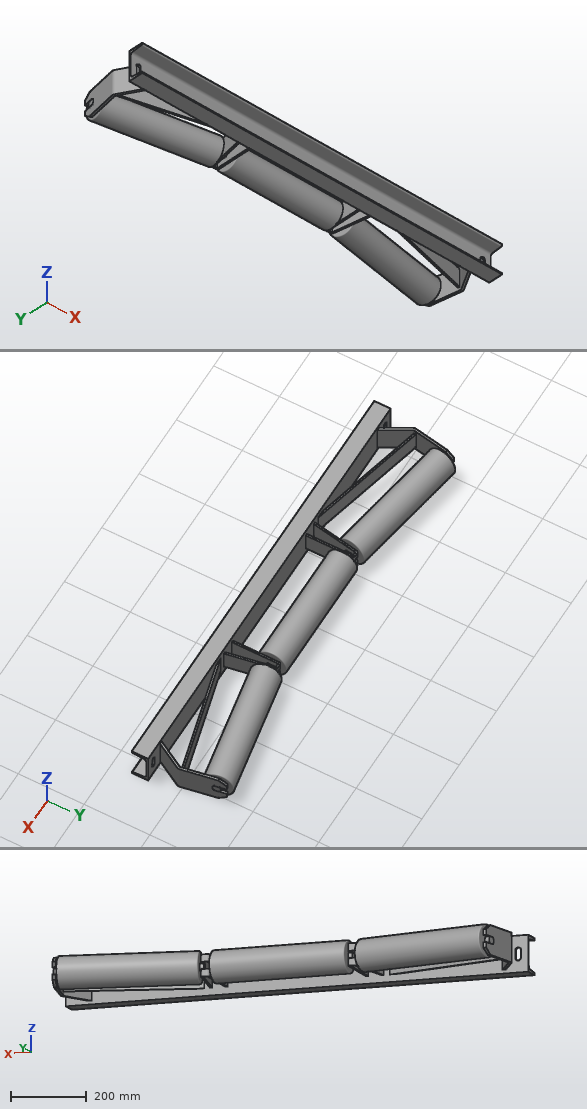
import cadquery as cq
import math


channel_length = 1300.0
channel_width = 100.0
channel_depth = 50.0
web_thickness = 6.0
flange_thickness = 8.5
flange_slope = 0.08
root_radius = 8.5
tip_radius = 4.5
mount_slot_width = 15.0
mount_slot_length = 35.0
mount_slot_from_end = 29.0

roller_diameter = 89.0
roller_length = 380.0
roller_edge_radius = 3.0
axle_diameter = 25.0
axle_flat_width = 20.0
center_roller_y = 165.8
side_roller_x = -415.0
side_roller_y = 203.0
trough_angle = 10.0

plate_width = 80.0
roller_gap = 5.0
inner_plate = 6.0
inner_width = 60.0
inner_top_y = 196.0
inner_bend_radius = 6.0
outer_plate = 8.0
outer_reach = 29.0
tip_chamfer_length = 23.0
tip_chamfer_width = 15.0
outer_bend_y = 131.0
outer_bend_radius = 8.0
strut_angle = 30.0
brace_thickness = 6.0
brace_width = 60.0
brace_angle = 14.3
brace_underside_y = 136.0

inner_face = roller_length / 2 + roller_gap
inner_back = inner_face + inner_plate
outer_back = inner_face + outer_plate
trough = math.radians(trough_angle)
strut_slope = math.tan(math.radians(strut_angle))
brace = math.radians(brace_angle)


def side_point(along, across):
    """XY point beside the left roller: `along` its axis towards the middle, `across` away from the channel."""
    return (
        side_roller_x + along * math.cos(trough) + across * math.sin(trough),
        side_roller_y - along * math.sin(trough) + across * math.cos(trough),
    )


def across_at_y(along, y):
    """Distance from the left roller's axis to height y, measured square to it at `along`."""
    return (y - side_roller_y + along * math.sin(trough)) / math.cos(trough)


def side_point_at_y(along, y):
    """XY point at height y on the line square to the left roller's axis at `along`."""
    return side_point(along, across_at_y(along, y))


def on_left_axis(body):
    """Move a body built around the X axis onto the left roller's axis."""
    tilted = body.rotate((0, 0, 0), (0, 0, 1), -trough_angle)
    return tilted.translate((side_roller_x, side_roller_y, 0))


def on_center_axis(body):
    """Move a body built around the X axis onto the centre roller's axis."""
    return body.translate((0, center_roller_y, 0))


def plate_from(points, width=plate_width):
    """Prism of the given width, centred on Z = 0, over a closed XY outline."""
    base = cq.Workplane("XY", origin=(0, 0, -width / 2))
    return base.polyline(points).close().extrude(width)


def round_corner(body, corner, radius):
    """Fillet the edge parallel to Z at an XY corner of a plate."""
    return body.edges(cq.NearestToPointSelector((*corner, 0))).fillet(radius)


def make_channel():
    half = channel_width / 2
    web_face = channel_depth - web_thickness
    middle = channel_depth / 2
    tip_z = half - flange_thickness + flange_slope * middle
    root_z = half - flange_thickness - flange_slope * (web_face - middle)
    body = (
        cq.Workplane("YZ", origin=(-channel_length / 2, 0, 0))
        .polyline([
            (channel_depth, half),
            (0, half),
            (0, tip_z),
            (web_face, root_z),
            (web_face, -root_z),
            (0, -tip_z),
            (0, -half),
            (channel_depth, -half),
        ])
        .close()
        .extrude(channel_length)
    )
    for side in (1, -1):
        body = body.edges(cq.NearestToPointSelector((0, web_face, side * root_z))).fillet(root_radius)
        body = body.edges(cq.NearestToPointSelector((0, 0, side * tip_z))).fillet(tip_radius)
    slot_x = channel_length / 2 - mount_slot_from_end
    slots = (
        cq.Workplane("XZ")
        .pushPoints([(-slot_x, 0), (slot_x, 0)])
        .slot2D(mount_slot_length, mount_slot_width, 90)
        .extrude(-channel_depth)
    )
    return body.cut(slots)


def axle_bar(start, end):
    """Round bar with two flats, from X = start to X = end."""
    bar = cq.Workplane("YZ", origin=(start, 0, 0)).circle(axle_diameter / 2).extrude(end - start)
    flats = (
        cq.Workplane("YZ", origin=(start, 0, 0))
        .rect(axle_diameter, axle_flat_width)
        .extrude(end - start)
    )
    return bar.intersect(flats)


def make_roller(left_end, right_end):
    """Roller on the X axis with its axle showing from X = left_end to X = right_end."""
    shell = (
        cq.Workplane("YZ", origin=(-roller_length / 2, 0, 0))
        .circle(roller_diameter / 2)
        .extrude(roller_length)
        .faces("<X or >X")
        .edges()
        .fillet(roller_edge_radius)
    )
    return shell.union(axle_bar(left_end, right_end))


def axle_slot(start, end):
    """Slot along X that seats the axle and is open on the side away from the channel."""
    opening = (
        cq.Workplane("YZ", origin=(start, plate_width / 2, 0))
        .rect(plate_width, axle_flat_width)
        .extrude(end - start)
    )
    return axle_bar(start, end).union(opening)


def make_inner_bracket():
    """Inverted U between the left and centre rollers."""
    under_y = inner_top_y - inner_plate
    center_corner = (-inner_face, inner_top_y)
    side_corner = side_point_at_y(inner_face, inner_top_y)
    side_under = side_point_at_y(inner_back, under_y)
    outline = [
        (-inner_face, channel_depth),
        center_corner,
        side_corner,
        side_point_at_y(inner_face, channel_depth),
        side_point_at_y(inner_back, channel_depth),
        side_under,
        (-inner_back, under_y),
        (-inner_back, channel_depth),
    ]
    body = plate_from(outline, inner_width)
    body = round_corner(body, center_corner, inner_bend_radius)
    body = round_corner(body, side_corner, inner_bend_radius)
    gap_between_legs = -inner_back - side_under[0]
    center_slot = on_center_axis(axle_slot(-inner_back - gap_between_legs / 2, -inner_face))
    side_slot = on_left_axis(axle_slot(inner_face, inner_back + gap_between_legs / 2))
    return body.cut(center_slot).cut(side_slot)


def make_bent_plate():
    """Whole outer plate: upright square to the left roller, bent inwards down to the channel."""
    bend_across = across_at_y(-outer_back, outer_bend_y)
    miter = outer_plate * math.tan(math.radians(trough_angle + strut_angle) / 2)
    outer_corner = side_point(-outer_back, bend_across)
    inner_corner = side_point(-inner_face, bend_across + miter)

    def foot(corner):
        return (corner[0] + (corner[1] - channel_depth) * strut_slope, channel_depth)

    body = plate_from([
        side_point(-outer_back, outer_reach),
        outer_corner,
        foot(outer_corner),
        foot(inner_corner),
        inner_corner,
        side_point(-inner_face, outer_reach),
    ])
    body = round_corner(body, inner_corner, outer_bend_radius)
    return round_corner(body, outer_corner, outer_bend_radius + outer_plate)


def cut_tip_corners(plate):
    """Chamfer both corners at the tip of the outer plate, built around the left roller's axis."""
    half = plate_width / 2
    for side in (1, -1):
        corner = (
            cq.Workplane("YZ", origin=(-outer_back, 0, 0))
            .polyline([
                (outer_reach, side * half),
                (outer_reach - tip_chamfer_length, side * half),
                (outer_reach, side * (half - tip_chamfer_width)),
            ])
            .close()
            .extrude(outer_plate)
        )
        plate = plate.cut(on_left_axis(corner))
    return plate


def make_outer_bracket():
    plate = cut_tip_corners(make_bent_plate())
    return plate.cut(on_left_axis(axle_slot(-outer_back, -inner_face)))


def make_brace():
    """Sloping strip from the upright's inner face down to the channel."""
    height = brace_thickness / math.cos(brace)
    run = height / math.tan(brace)
    lower_start = side_point_at_y(-inner_face, brace_underside_y)
    climb = height / (1 + math.tan(trough) * math.tan(brace))
    upper_start = side_point_at_y(-inner_face, brace_underside_y + climb)
    foot_x = lower_start[0] + (brace_underside_y - channel_depth) / math.tan(brace)
    outline = [lower_start, (foot_x, channel_depth), (foot_x + run, channel_depth), upper_start]
    return plate_from(outline, brace_width)


channel = make_channel()
center_roller = on_center_axis(make_roller(-inner_back, inner_back))
left_roller = on_left_axis(make_roller(-outer_back, inner_back))
left_bodies = [left_roller, make_inner_bracket(), make_outer_bracket(), make_brace()]
right_bodies = [body.mirror("YZ") for body in left_bodies]

all_bodies = [channel, center_roller, *left_bodies, *right_bodies]
result = cq.Compound.makeCompound([body.val() for body in all_bodies])